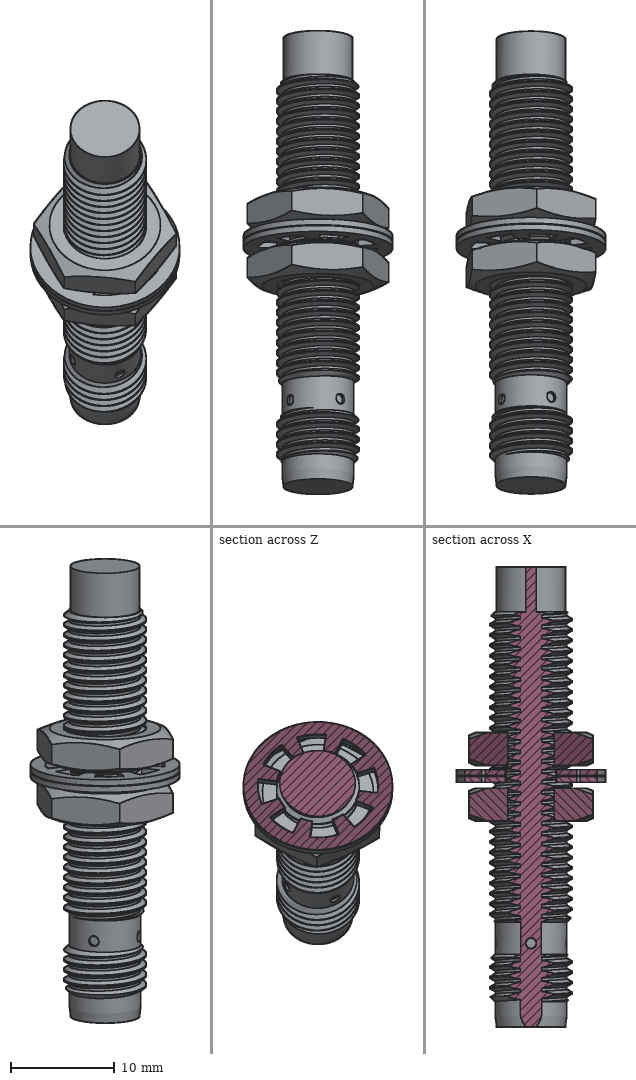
import cadquery as cq
import math

TOTAL_LENGTH = 44.5
TIP_LENGTH = 4.35
TIP_RADIUS = 3.35
ROOT_RADIUS = 3.47
MAIN_THREAD_LENGTH = 30.0
COLLAR_LENGTH = 3.1
TAIL_THREAD_LENGTH = 4.6
TAPER_LENGTH = 1.0
TAPER_END_RADIUS = 3.35

MAIN_THREAD_TOP = TOTAL_LENGTH - TIP_LENGTH
MAIN_THREAD_BOTTOM = MAIN_THREAD_TOP - MAIN_THREAD_LENGTH
TAIL_THREAD_TOP = MAIN_THREAD_BOTTOM - COLLAR_LENGTH
TAIL_THREAD_BOTTOM = TAIL_THREAD_TOP - TAIL_THREAD_LENGTH

MAJOR_RADIUS = 4.0
PITCH = 1.0
CREST_WIDTH = PITCH / 8
HALF_FLANK_ANGLE = 30.0
RIDGE_EMBED = 0.1
ENVELOPE_RADIUS = 4.3

WINDOW_DIAMETER = 1.0
WINDOW_DEPTH = 0.3
WINDOW_COUNT = 4
WINDOW_Z = 8.1

NUT_ACROSS_FLATS = 12.0
NUT_HEIGHT = 3.2
NUT_FACE_RADIUS = 5.37
NUT_CHAMFER_ANGLE = 22.5
LOWER_NUT_BOTTOM = 19.91
UPPER_NUT_BOTTOM = 25.28

WASHER_RADIUS = 7.22
WASHER_THICKNESS = 0.58
WASHER_GAP = 0.08
WASHER_COUNT = 2
NOTCH_COUNT = 8
NOTCH_RADIUS = 5.8
NOTCH_ANGLE = 28.0
NOTCH_OVERCUT = 0.5
WASHER_STACK_BOTTOM = 23.66


def thread_envelope(bottom, top):
    """Oversized turned blank with 45 degree cones that meet the root radius at both ends."""
    flare = ENVELOPE_RADIUS - ROOT_RADIUS
    return (
        cq.Workplane("XZ")
        .moveTo(0, bottom)
        .lineTo(ROOT_RADIUS, bottom)
        .lineTo(ENVELOPE_RADIUS, bottom + flare)
        .lineTo(ENVELOPE_RADIUS, top - flare)
        .lineTo(ROOT_RADIUS, top)
        .lineTo(0, top)
        .close()
        .revolve(360, (0, 0, 0), (0, 1, 0))
    )


def thread_ridge(bottom, top):
    """Helical ridge whose crest passes the +X axis at the top of the run."""
    turns = math.ceil((top - bottom) / PITCH) + 2
    start_z = top - (turns - 1) * PITCH
    inner_radius = ROOT_RADIUS - RIDGE_EMBED
    crest_half = CREST_WIDTH / 2
    base_half = crest_half + (MAJOR_RADIUS - inner_radius) * math.tan(math.radians(HALF_FLANK_ANGLE))
    helix = cq.Wire.makeHelix(PITCH, turns * PITCH, ROOT_RADIUS, center=cq.Vector(0, 0, start_z))
    profile = cq.Workplane("XZ").polyline([
        (inner_radius, start_z - base_half),
        (MAJOR_RADIUS, start_z - crest_half),
        (MAJOR_RADIUS, start_z + crest_half),
        (inner_radius, start_z + base_half),
    ]).close()
    return profile.sweep(cq.Workplane(obj=helix), isFrenet=True)


def threaded_run(bottom, top):
    """Thread ridge trimmed to its run by the end cones."""
    return thread_ridge(bottom, top).intersect(thread_envelope(bottom, top))


def make_barrel():
    """Turned core with two threaded runs and a ring of blind indicator windows."""
    core = (
        cq.Workplane("XZ")
        .moveTo(0, 0)
        .lineTo(TAPER_END_RADIUS, 0)
        .lineTo(ROOT_RADIUS, TAPER_LENGTH)
        .lineTo(ROOT_RADIUS, MAIN_THREAD_TOP)
        .lineTo(TIP_RADIUS, MAIN_THREAD_TOP)
        .lineTo(TIP_RADIUS, TOTAL_LENGTH)
        .lineTo(0, TOTAL_LENGTH)
        .close()
        .revolve(360, (0, 0, 0), (0, 1, 0))
    )
    barrel = core.union(threaded_run(MAIN_THREAD_BOTTOM, MAIN_THREAD_TOP))
    barrel = barrel.union(threaded_run(TAIL_THREAD_BOTTOM, TAIL_THREAD_TOP))
    window = (
        cq.Workplane("YZ", origin=(ROOT_RADIUS - WINDOW_DEPTH, 0, WINDOW_Z))
        .circle(WINDOW_DIAMETER / 2)
        .extrude(MAJOR_RADIUS)
    )
    for index in range(WINDOW_COUNT):
        barrel = barrel.cut(window.rotate((0, 0, 0), (0, 0, 1), index * 360 / WINDOW_COUNT))
    return barrel


def make_nut(bottom):
    """Hex nut with conical chamfers on both faces and corners on the X axis."""
    corner_radius = NUT_ACROSS_FLATS / math.sqrt(3)
    chamfer_drop = (corner_radius - NUT_FACE_RADIUS) * math.tan(math.radians(NUT_CHAMFER_ANGLE))
    hexagon = cq.Workplane("XY").polygon(6, 2 * corner_radius).extrude(NUT_HEIGHT)
    turned = (
        cq.Workplane("XZ")
        .moveTo(MAJOR_RADIUS, 0)
        .lineTo(NUT_FACE_RADIUS, 0)
        .lineTo(corner_radius, chamfer_drop)
        .lineTo(corner_radius, NUT_HEIGHT - chamfer_drop)
        .lineTo(NUT_FACE_RADIUS, NUT_HEIGHT)
        .lineTo(MAJOR_RADIUS, NUT_HEIGHT)
        .close()
        .revolve(360, (0, 0, 0), (0, 1, 0))
    )
    return hexagon.intersect(turned).translate((0, 0, bottom))


def make_washer(bottom):
    """Flat ring with notches around its bore that leave inward teeth."""
    washer = cq.Workplane("XY").circle(WASHER_RADIUS).circle(MAJOR_RADIUS).extrude(WASHER_THICKNESS)
    inner = MAJOR_RADIUS - NOTCH_OVERCUT
    half_angle = math.radians(NOTCH_ANGLE / 2)
    notch = (
        cq.Workplane("XY")
        .moveTo(inner * math.cos(half_angle), -inner * math.sin(half_angle))
        .lineTo(NOTCH_RADIUS * math.cos(half_angle), -NOTCH_RADIUS * math.sin(half_angle))
        .threePointArc(
            (NOTCH_RADIUS, 0),
            (NOTCH_RADIUS * math.cos(half_angle), NOTCH_RADIUS * math.sin(half_angle)),
        )
        .lineTo(inner * math.cos(half_angle), inner * math.sin(half_angle))
        .close()
        .extrude(WASHER_THICKNESS)
    )
    notch_pitch = 360 / NOTCH_COUNT
    for index in range(NOTCH_COUNT):
        washer = washer.cut(notch.rotate((0, 0, 0), (0, 0, 1), (index + 0.5) * notch_pitch))
    return washer.translate((0, 0, bottom))


barrel = make_barrel()
nuts = [make_nut(bottom) for bottom in (LOWER_NUT_BOTTOM, UPPER_NUT_BOTTOM)]
washer_pitch = WASHER_THICKNESS + WASHER_GAP
washers = [make_washer(WASHER_STACK_BOTTOM + index * washer_pitch) for index in range(WASHER_COUNT)]

result = cq.Compound.makeCompound([
    barrel.val(),
    *[nut.val() for nut in nuts],
    *[washer.val() for washer in washers],
])